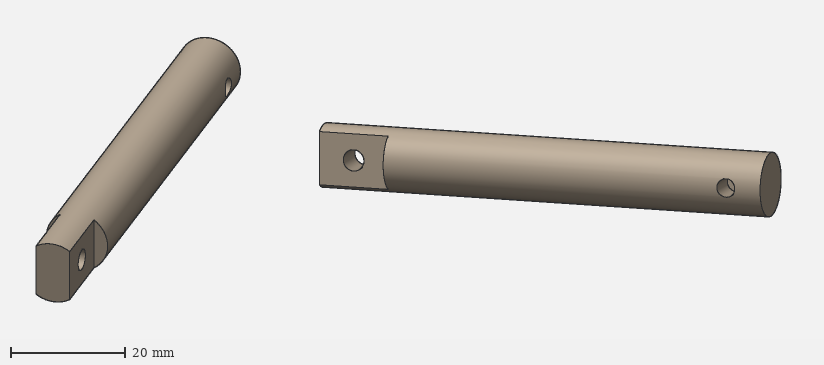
import cadquery as cq

length = 82.55
rod_diameter = 11.4

tang_length = 12.7
tang_thickness = 6.3
pin_hole_diameter = 3.8

side_hole_diameter = 3.3
side_hole_inset = 6.35

rod_radius = rod_diameter / 2
front_y = -length / 2
back_y = length / 2


def cylinder_along_x(diameter, start_x, depth, y):
    """Cylinder at mid-height, running toward +X from start_x."""
    start = cq.Vector(start_x, y, 0)
    return cq.Workplane(cq.Solid.makeCylinder(diameter / 2, depth, start, cq.Vector(1, 0, 0)))


result = cq.Workplane("XZ", origin=(0, back_y, 0)).circle(rod_radius).extrude(length)

flat_depth = rod_radius - tang_thickness / 2
tang_middle_y = front_y + tang_length / 2
for side in (-1, 1):
    flat_middle_x = side * (tang_thickness + flat_depth) / 2
    flat_cut = cq.Workplane("XY").box(flat_depth, tang_length, rod_diameter)
    result = result.cut(flat_cut.translate((flat_middle_x, tang_middle_y, 0)))

result = result.cut(cylinder_along_x(pin_hole_diameter, -rod_radius, rod_diameter, tang_middle_y))

result = result.cut(cylinder_along_x(side_hole_diameter, 0, rod_radius, back_y - side_hole_inset))